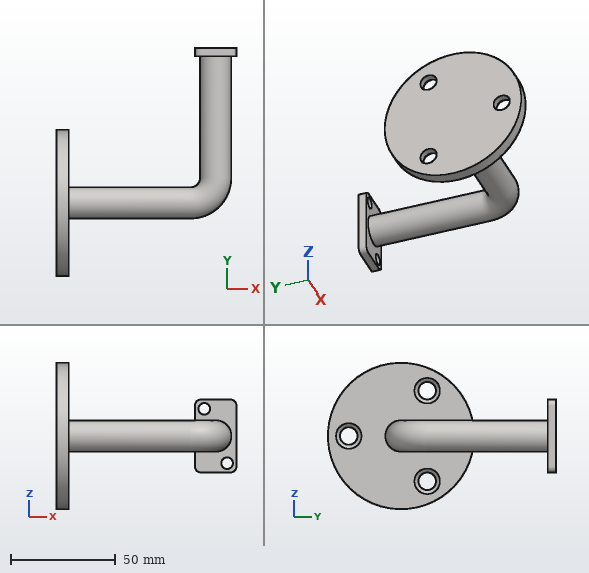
import cadquery as cq
import math

DISC_DIAMETER = 70.0
DISC_THICKNESS = 6.0
DISC_HOLE_COUNT = 3
DISC_HOLE_DIAMETER = 8.3
DISC_COUNTERSINK_DEPTH = 2.0
DISC_COUNTERSINK_ANGLE = 90
DISC_HOLE_CIRCLE_RADIUS = 25.0

ARM_DIAMETER = 15.0
BEND_RADIUS = 12.0

PLATE_WIDTH = 20.0
PLATE_HEIGHT = 35.0
PLATE_THICKNESS = 4.0
PLATE_CORNER_RADIUS = 3.0
PLATE_HOLE_DIAMETER = 5.5
PLATE_HOLE_OFFSET_X = 5.5
PLATE_HOLE_OFFSET_Z = 13.0

OVERALL_X = 86.0
OVERALL_Y = 109.0
ARM_END_X = OVERALL_X - PLATE_WIDTH / 2
PLATE_OUTER_Y = OVERALL_Y - DISC_DIAMETER / 2
PLATE_INNER_Y = PLATE_OUTER_Y - PLATE_THICKNESS


def make_disc():
    """Round wall disc with equally spaced holes countersunk on the arm side, one towards -Y."""
    hole_centers = []
    for i in range(DISC_HOLE_COUNT):
        angle = math.pi + i * 2 * math.pi / DISC_HOLE_COUNT
        y = DISC_HOLE_CIRCLE_RADIUS * math.cos(angle)
        z = DISC_HOLE_CIRCLE_RADIUS * math.sin(angle)
        hole_centers.append((y, z))
    countersink_diameter = DISC_HOLE_DIAMETER + 2 * DISC_COUNTERSINK_DEPTH * math.tan(
        math.radians(DISC_COUNTERSINK_ANGLE / 2)
    )
    blank = cq.Workplane("YZ").circle(DISC_DIAMETER / 2).extrude(DISC_THICKNESS)
    arm_face = blank.faces(">X").workplane(origin=(0, 0, 0))
    return arm_face.pushPoints(hole_centers).cskHole(
        DISC_HOLE_DIAMETER, countersink_diameter, DISC_COUNTERSINK_ANGLE
    )


def make_rod():
    """Round bar from the disc face, through a quarter bend, to the plate face."""
    bend_start_x = ARM_END_X - BEND_RADIUS
    bend_middle = (
        bend_start_x + BEND_RADIUS * math.sin(math.pi / 4),
        BEND_RADIUS * (1 - math.cos(math.pi / 4)),
    )
    path = (
        cq.Workplane("XY")
        .moveTo(DISC_THICKNESS, 0)
        .lineTo(bend_start_x, 0)
        .threePointArc(bend_middle, (ARM_END_X, BEND_RADIUS))
        .lineTo(ARM_END_X, PLATE_INNER_Y)
    )
    profile = cq.Workplane("YZ", origin=(DISC_THICKNESS, 0, 0)).circle(ARM_DIAMETER / 2)
    return profile.sweep(path)


def make_plate():
    """Rounded end plate with two diagonally opposite screw holes."""
    plane = cq.Workplane("XZ", origin=(ARM_END_X, PLATE_OUTER_Y, 0))
    blank = (
        plane.rect(PLATE_WIDTH, PLATE_HEIGHT)
        .extrude(PLATE_THICKNESS)
        .edges("|Y")
        .fillet(PLATE_CORNER_RADIUS)
    )
    hole_centers = [
        (-PLATE_HOLE_OFFSET_X, PLATE_HOLE_OFFSET_Z),
        (PLATE_HOLE_OFFSET_X, -PLATE_HOLE_OFFSET_Z),
    ]
    holes = plane.pushPoints(hole_centers).circle(PLATE_HOLE_DIAMETER / 2).extrude(PLATE_THICKNESS)
    return blank.cut(holes)


def make_arm():
    """Bent rod and end plate joined as one solid."""
    return make_rod().union(make_plate())


disc = make_disc()
arm = make_arm()

result = cq.Compound.makeCompound([disc.val(), *arm.vals()])